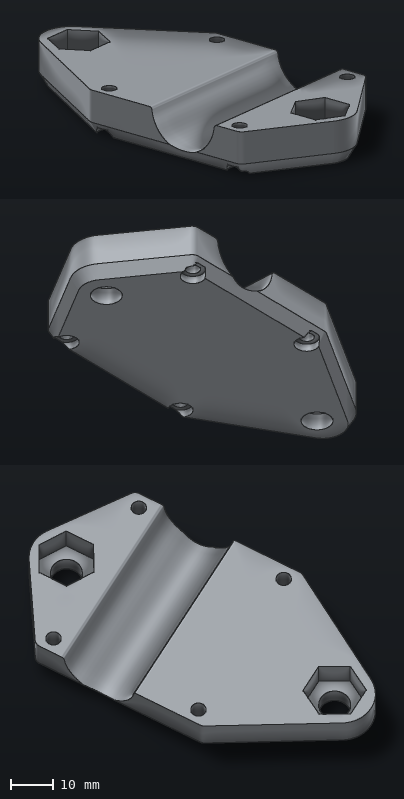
import cadquery as cq
import math

length = 92.0
width = 48.0
height = 11.5
bottom_chamfer_height = 3.3
bottom_chamfer_inset = 1.9

end_radius = 8.0
corner_radius = 2.0
left_corner_x = 33.0
right_corner_x = 76.7
corner_y = width / 2 - corner_radius

groove_x = 60.5
groove_radius = 9.5
groove_depth = 9.1
lip_radius = 0.8

bolt_diameter = 7.5
nut_across_flats = 13.0
nut_depth = 7.0
left_bolt_x = 9.9
right_bolt_x = 83.0

screw_diameter = 3.6
screw_head_diameter = 6.0
screw_head_depth = 2.0
left_screw_x = 35.4
right_screw_x = 74.9
screw_y = 20.5


def tangent_angle(end_x, corner_x):
    """Direction from +X of the outward normal of the +Y side joining an end to a corner."""
    run = corner_x - end_x
    span = math.hypot(run, corner_y)
    return math.atan2(corner_y, run) + math.copysign(math.acos((end_radius - corner_radius) / span), run)


def on_circle(x, y, radius, angle):
    return (x + radius * math.cos(angle), y + radius * math.sin(angle))


def mirrored(point):
    return (point[0], -point[1])


def make_plate():
    left_end_x = end_radius
    right_end_x = length - end_radius
    left_angle = tangent_angle(left_end_x, left_corner_x)
    right_angle = tangent_angle(right_end_x, right_corner_x)
    up = math.pi / 2
    left_tangent = on_circle(left_end_x, 0, end_radius, left_angle)
    left_corner_start = on_circle(left_corner_x, corner_y, corner_radius, left_angle)
    left_corner_mid = on_circle(left_corner_x, corner_y, corner_radius, (left_angle + up) / 2)
    left_corner_end = (left_corner_x, width / 2)
    right_corner_start = (right_corner_x, width / 2)
    right_corner_mid = on_circle(right_corner_x, corner_y, corner_radius, (right_angle + up) / 2)
    right_corner_end = on_circle(right_corner_x, corner_y, corner_radius, right_angle)
    right_tangent = on_circle(right_end_x, 0, end_radius, right_angle)
    return (
        cq.Workplane("XY")
        .moveTo(*left_tangent)
        .lineTo(*left_corner_start)
        .threePointArc(left_corner_mid, left_corner_end)
        .lineTo(*right_corner_start)
        .threePointArc(right_corner_mid, right_corner_end)
        .lineTo(*right_tangent)
        .threePointArc((length, 0), mirrored(right_tangent))
        .lineTo(*mirrored(right_corner_end))
        .threePointArc(mirrored(right_corner_mid), mirrored(right_corner_start))
        .lineTo(*mirrored(left_corner_end))
        .threePointArc(mirrored(left_corner_mid), mirrored(left_corner_start))
        .lineTo(*mirrored(left_tangent))
        .threePointArc((0, 0), left_tangent)
        .close()
        .extrude(height)
        .faces("<Z")
        .chamfer(bottom_chamfer_height, bottom_chamfer_inset)
    )


def cut_groove(body):
    groove = (
        cq.Workplane("XZ")
        .center(groove_x, height - groove_depth + groove_radius)
        .circle(groove_radius)
        .extrude(width / 2, both=True)
    )
    lips = cq.selectors.BoxSelector(
        (groove_x - groove_radius - 0.9, -0.9, height - 0.1),
        (groove_x + groove_radius + 0.9, 0.9, height + 0.1),
    )
    return body.cut(groove).edges(lips).fillet(lip_radius)


def cut_bolt(body, x, pocket_turn):
    """Through hole with a hexagonal pocket on top; zero turn points a hexagon corner along X."""
    across_corners = nut_across_flats / math.cos(math.pi / 6)
    hole = cq.Workplane("XY").circle(bolt_diameter / 2).extrude(height)
    pocket = (
        cq.Workplane("XY", origin=(0, 0, height))
        .polygon(6, across_corners)
        .extrude(-nut_depth)
        .rotate((0, 0, 0), (0, 0, 1), pocket_turn)
    )
    return body.cut(hole.union(pocket).translate((x, 0, 0)))


def cut_screw(body, x, y):
    shank = cq.Workplane("XY").circle(screw_diameter / 2).extrude(height)
    head = cq.Workplane("XY").circle(screw_head_diameter / 2).extrude(screw_head_depth)
    return body.cut(shank.union(head).translate((x, y, 0)))


result = cut_groove(make_plate())
result = cut_bolt(result, left_bolt_x, 30)
result = cut_bolt(result, right_bolt_x, 0)
for screw_x in (left_screw_x, right_screw_x):
    for side in (-1, 1):
        result = cut_screw(result, screw_x, side * screw_y)